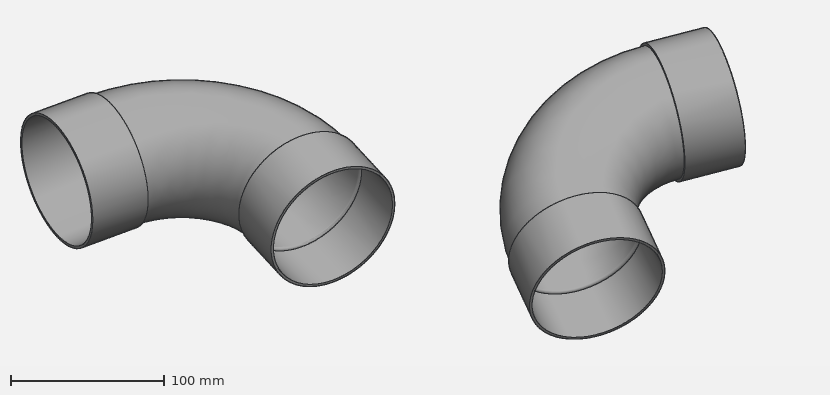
import cadquery as cq
import math

pipe_diameter = 90.0
wall = 1.8
bend_radius = 90.0
bend_angle = 90.0
socket_depth = 40.0

pipe_radius = pipe_diameter / 2
socket_radius = pipe_radius + wall
bore_radius = pipe_radius - wall
socket_length = socket_depth + wall

end_planes = [
    cq.Plane(origin=(0, 0, 0), xDir=(1, 0, 0), normal=(0, 0, -1)),
    cq.Plane(origin=(bend_radius, bend_radius, 0), xDir=(0, 1, 0), normal=(0, 0, -1)),
]


def bend(radius):
    """Solid elbow from the origin, heading +Y, to (bend_radius, bend_radius), heading +X."""
    return (
        cq.Workplane("XZ")
        .circle(radius)
        .revolve(bend_angle, (bend_radius, 0, 0), (bend_radius, -1, 0))
    )


def socket_body(plane):
    """Solid cylinder around a bend end."""
    return (
        cq.Workplane(plane)
        .rect(socket_radius, socket_length, centered=False)
        .revolve(360, (0, 0, 0), (0, 1, 0))
    )


def socket_cavity(plane):
    """Socket bore with a rounded stop shoulder that narrows to the bore of the bend."""
    arc_offset = wall * math.sqrt(0.5)
    return (
        cq.Workplane(plane)
        .lineTo(bore_radius, 0)
        .threePointArc((pipe_radius - arc_offset, arc_offset), (pipe_radius, wall))
        .lineTo(pipe_radius, socket_length)
        .lineTo(0, socket_length)
        .close()
        .revolve(360, (0, 0, 0), (0, 1, 0))
    )


result = bend(pipe_radius)
for end_plane in end_planes:
    result = result.union(socket_body(end_plane))

result = result.cut(bend(bore_radius))
for end_plane in end_planes:
    result = result.cut(socket_cavity(end_plane))